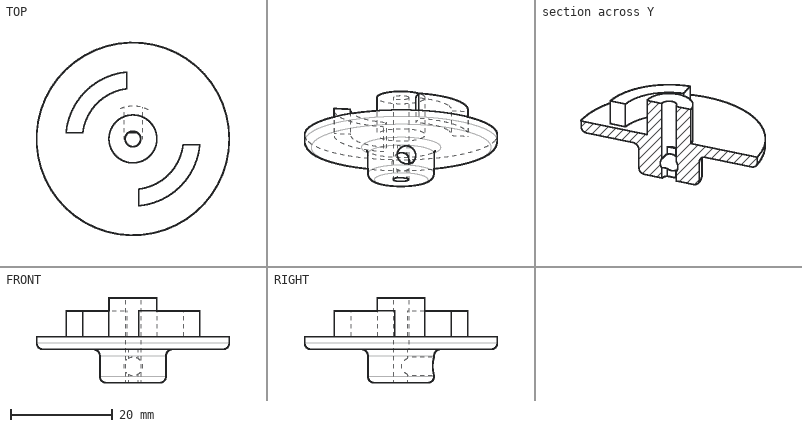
import cadquery as cq

FLANGE_DIAMETER = 38.1
FLANGE_THICKNESS = 2.54
EDGE_RADIUS = 1.27

HUB_DIAMETER = 13.11
HUB_LENGTH = 6.6
PIN_DIAMETER = 9.47
PIN_LENGTH = 7.62

LUG_OUTER_RADIUS = 13.26
LUG_INNER_RADIUS = 9.98
LUG_HEIGHT = 5.08
LUG_END_OFFSET = 1.2

BORE_DIAMETER = 3.04
BORE_FLAT_OFFSET = 1.2

SET_SCREW_DIAMETER = 3.68


def make_flange():
    disc = cq.Workplane("XY").circle(FLANGE_DIAMETER / 2).extrude(FLANGE_THICKNESS)
    return disc.faces("<Z").edges().fillet(EDGE_RADIUS)


def make_hub():
    """Hub with a rounded lower end and a concave flare where it meets the flange."""
    radius = HUB_DIAMETER / 2
    flare_radius = radius + EDGE_RADIUS
    profile = (
        cq.Workplane("XZ")
        .moveTo(0, 0)
        .lineTo(flare_radius, 0)
        .radiusArc((radius, -EDGE_RADIUS), -EDGE_RADIUS)
        .lineTo(radius, EDGE_RADIUS - HUB_LENGTH)
        .radiusArc((radius - EDGE_RADIUS, -HUB_LENGTH), EDGE_RADIUS)
        .lineTo(0, -HUB_LENGTH)
        .close()
    )
    return profile.revolve(360, (0, 0, 0), (0, 1, 0))


def make_pin():
    pin_base = cq.Workplane("XY").workplane(offset=FLANGE_THICKNESS)
    return pin_base.circle(PIN_DIAMETER / 2).extrude(PIN_LENGTH)


def make_lugs():
    """Two ring sectors, in the (-X, +Y) and (+X, -Y) quadrants."""
    lug_base = cq.Workplane("XY").workplane(offset=FLANGE_THICKNESS)
    ring = lug_base.circle(LUG_OUTER_RADIUS).circle(LUG_INNER_RADIUS).extrude(LUG_HEIGHT)
    side = LUG_OUTER_RADIUS
    center = LUG_END_OFFSET + side / 2
    quadrants = lug_base.pushPoints([(-center, center), (center, -center)]).rect(side, side)
    return ring.intersect(quadrants.extrude(LUG_HEIGHT))


def make_bore():
    """Through bore, less the segment beyond the flat along the hub."""
    radius = BORE_DIAMETER / 2
    bore_base = cq.Workplane("XY").workplane(offset=-HUB_LENGTH)
    total_length = HUB_LENGTH + FLANGE_THICKNESS + PIN_LENGTH
    bore = bore_base.circle(radius).extrude(total_length)
    beyond_flat = bore_base.center(0, BORE_FLAT_OFFSET + radius / 2).rect(BORE_DIAMETER, radius)
    return bore.cut(beyond_flat.extrude(HUB_LENGTH))


def make_set_screw_hole():
    hole_axis = cq.Workplane("XZ").center(0, -HUB_LENGTH / 2)
    return hole_axis.circle(SET_SCREW_DIAMETER / 2).extrude(-HUB_DIAMETER / 2)


body = make_flange().union(make_hub()).union(make_pin()).union(make_lugs())
result = body.cut(make_bore()).cut(make_set_screw_hole())